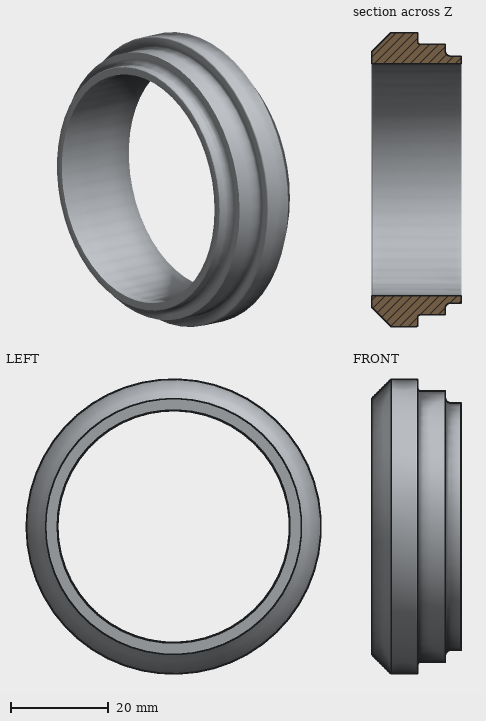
import cadquery as cq

flange_radius = 60.45 / 2
shoulder_radius = 55.7 / 2
collar_radius = 50.8 / 2
bore_radius = 47.5 / 2

flange_end = 9.5
shoulder_end = 15.1
total_length = 18.4

bevel = 4.0
flange_round = 0.35
shoulder_fillet = 0.4
collar_fillet = 1.0
end_chamfer = 0.1


def edge_at(x, radius):
    """Select the circular edge of the given radius at a distance along X."""
    margin = 0.005
    return cq.selectors.BoxSelector(
        (x - margin, -radius - margin, -radius - margin),
        (x + margin, radius + margin, radius + margin),
        boundingbox=True,
    ) - cq.selectors.BoxSelector(
        (x - margin, -radius + margin, -radius + margin),
        (x + margin, radius - margin, radius - margin),
        boundingbox=True,
    )


def disc(radius, length):
    """Solid cylinder from the bevelled face along +X."""
    return cq.Workplane("YZ").circle(radius).extrude(length)


body = disc(flange_radius, flange_end)
body = body.union(disc(shoulder_radius, shoulder_end))
body = body.union(disc(collar_radius, total_length))

body = body.edges(edge_at(0, flange_radius)).chamfer(bevel)
body = body.edges(edge_at(flange_end, flange_radius)).fillet(flange_round)

body = body.edges(edge_at(flange_end, shoulder_radius)).fillet(shoulder_fillet)
body = body.edges(edge_at(shoulder_end, collar_radius)).fillet(collar_fillet)

body = body.edges(edge_at(total_length, collar_radius)).chamfer(end_chamfer)

body = body.cut(disc(bore_radius, total_length))
result = body.edges(edge_at(0, bore_radius)).chamfer(end_chamfer)